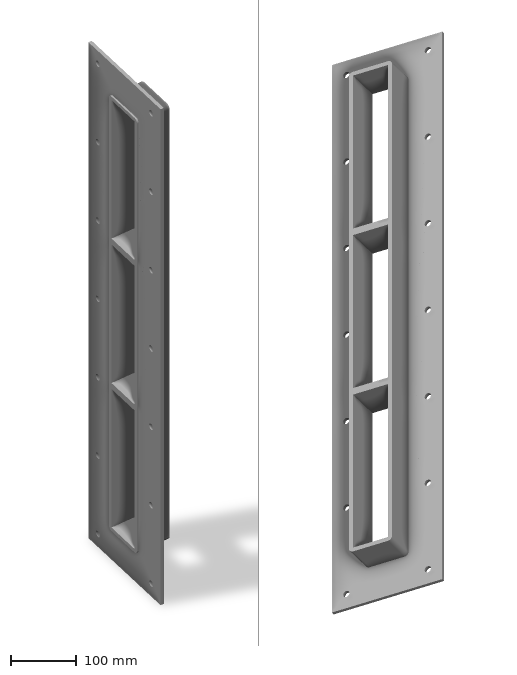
import cadquery as cq

plate_width = 192.0
plate_height = 986.0
plate_thickness = 6.0

duct_width = 75.0
duct_height = 864.0
duct_depth = 60.0
duct_wall = 7.0
duct_corner_radius = 7.0
front_lip = 3.0

window_count = 3
rib_thickness = 12.0

hole_diameter = 11.0
hole_column_spacing = 142.0
hole_pitch = 156.0
holes_per_column = 7

window_width = duct_width - 2 * duct_wall
clear_height = duct_height - 2 * duct_wall
window_height = (clear_height - (window_count - 1) * rib_thickness) / window_count
window_pitch = window_height + rib_thickness


def front_plane(y):
    """Workplane facing -Y at the given Y; negative extrusion goes toward +Y."""
    return cq.Workplane("XZ", origin=(0, y, 0))


def make_plate():
    plate = front_plane(front_lip).rect(plate_width, plate_height).extrude(-plate_thickness)
    holes = (
        front_plane(front_lip)
        .rarray(hole_column_spacing, hole_pitch, 2, holes_per_column)
        .circle(hole_diameter / 2)
        .extrude(-plate_thickness)
    )
    return plate.cut(holes)


def make_duct_body():
    body = front_plane(0).rect(duct_width, duct_height).extrude(-duct_depth)
    return body.edges("|Y").fillet(duct_corner_radius)


def make_windows():
    return (
        front_plane(0)
        .rarray(10, window_pitch, 1, window_count)
        .rect(window_width, window_height)
        .extrude(-duct_depth)
    )


result = make_plate().union(make_duct_body()).cut(make_windows())